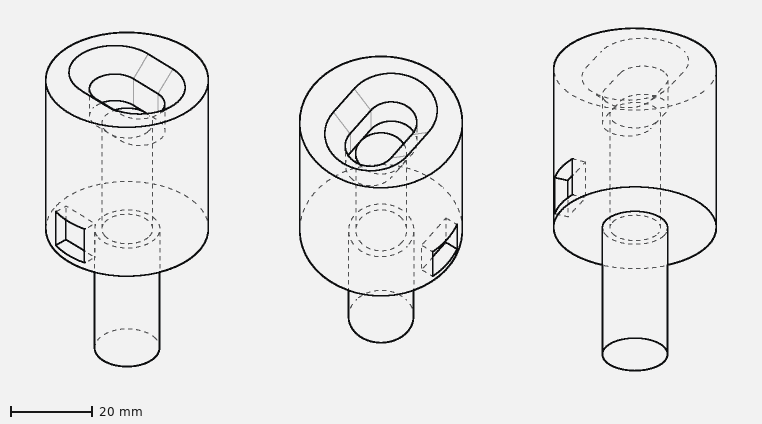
import cadquery as cq

total_height = 81.0
housing_diameter = 40.0
housing_height = 45.0
shaft_diameter = 16.0
shaft_length = total_height - housing_height

slot_width = 12.5
slot_straight = 8.75
slot_length = slot_straight + slot_width
mouth_flare = 5.0
slot_depth = 13.05

bore_diameter = slot_width

pocket_size = 10.2
pocket_bottom = 1.95
pocket_depth = 4.1


def make_slot():
    """Round-ended slot along X, widening at 45 degrees towards its mouth."""
    floor_z = housing_height - slot_depth
    lower_depth = slot_depth - mouth_flare
    straight_part = (
        cq.Workplane("XY", origin=(0, 0, floor_z))
        .slot2D(slot_length, slot_width)
        .extrude(lower_depth)
    )
    mouth = (
        cq.Workplane("XY", origin=(0, 0, housing_height))
        .slot2D(slot_length + 2 * mouth_flare, slot_width + 2 * mouth_flare)
        .extrude(-mouth_flare, taper=45)
    )
    return straight_part.union(mouth)


def make_side_pocket():
    """Square pocket with a flat back, open through the -Y side."""
    outer_y = -housing_diameter / 2
    return cq.Workplane("XY", origin=(0, outer_y, pocket_bottom)).box(
        pocket_size, 2 * pocket_depth, pocket_size, centered=(True, True, False)
    )


def make_housing():
    body = cq.Workplane("XY").circle(housing_diameter / 2).extrude(housing_height)
    bore = cq.Workplane("XY").circle(bore_diameter / 2).extrude(housing_height)
    return body.cut(make_slot()).cut(bore).cut(make_side_pocket())


def make_shaft():
    """Plain shaft hanging below the housing and closing the bore."""
    return cq.Workplane("XY").circle(shaft_diameter / 2).extrude(-shaft_length)


housing = make_housing()
shaft = make_shaft()
result = cq.Compound.makeCompound([housing.val(), shaft.val()])